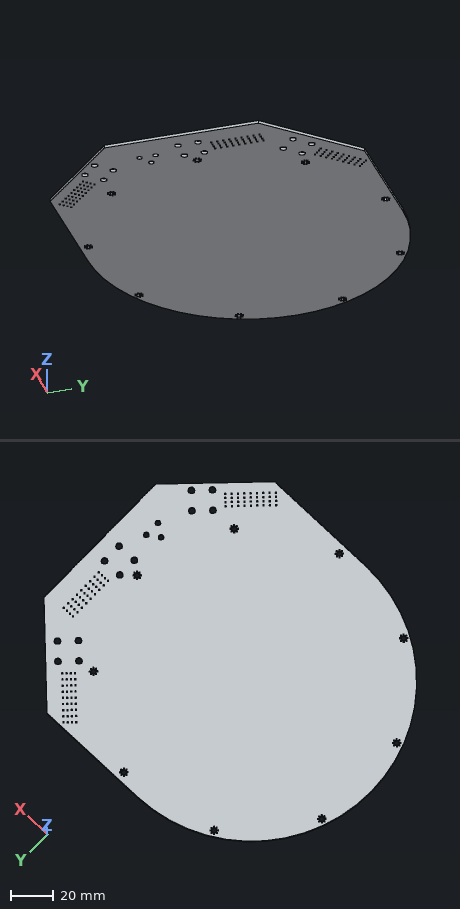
import cadquery as cq
import math

length = 178.5
width = 157.0
thickness = 1.6
corner_cut_x = 40.3
corner_cut_y = 40.2

right_edge = length / 2
half_width = width / 2
arc_center_x = -right_edge + half_width

mount_ring_radius = 75.3
mount_count = 9
mount_diameter = 2.5
via_count = 8
via_diameter = 0.5
via_ring_radius = 1.8

square_hole_diameter = 3.0
square_side = 10.0
square_groups = [
    (62.7, 49.5, 45),
    (75.7, 0.5, 0),
    (67.7, -48.0, 45),
]

triangle_hole_diameter = 2.5
triangle_base_x = 75.1
triangle_base_length = 8.0
triangle_height = 5.9
triangle_center_y = -21.5

pin_diameter = 0.6
pin_columns = 4
pin_rows = 9
pin_field_width = 6.0
pin_field_length = 24.1
pin_fields = [
    (46.4, 65.7, 45),
    (75.7, 23.5, 0),
    (51.2, -64.3, -45),
]


def make_plate():
    cut_start_x = right_edge - corner_cut_x
    cut_end_y = half_width - corner_cut_y
    return (
        cq.Workplane("XY", origin=(0, 0, -thickness / 2))
        .moveTo(arc_center_x, half_width)
        .lineTo(cut_start_x, half_width)
        .lineTo(right_edge, cut_end_y)
        .lineTo(right_edge, -cut_end_y)
        .lineTo(cut_start_x, -half_width)
        .lineTo(arc_center_x, -half_width)
        .threePointArc((-right_edge, 0), (arc_center_x, half_width))
        .close()
        .extrude(thickness)
    )


def ring_points(center, radius, count):
    """Points evenly spaced on a circle, the first one on the +X side."""
    angles = [2 * math.pi * i / count for i in range(count)]
    return [(center[0] + radius * math.cos(a), center[1] + radius * math.sin(a)) for a in angles]


def grid_points(center_x, center_y, rotation, size, counts):
    """Points of a centred rectangular grid of the given overall size, turned about its centre."""
    turn = math.radians(rotation)
    points = []
    for i in range(counts[0]):
        for j in range(counts[1]):
            u = size[0] * (i / (counts[0] - 1) - 0.5)
            v = size[1] * (j / (counts[1] - 1) - 0.5)
            x = center_x + u * math.cos(turn) - v * math.sin(turn)
            y = center_y + u * math.sin(turn) + v * math.cos(turn)
            points.append((x, y))
    return points


def hole_cutters(points, diameter):
    """Cylinders spanning the plate thickness, used to cut through holes."""
    return (
        cq.Workplane("XY", origin=(0, 0, -thickness / 2))
        .pushPoints(points)
        .circle(diameter / 2)
        .extrude(thickness)
    )


mount_points = ring_points((arc_center_x, 0), mount_ring_radius, mount_count)

via_points = []
for mount_point in mount_points:
    via_points += ring_points(mount_point, via_ring_radius, via_count)

square_points = []
for x, y, rotation in square_groups:
    square_points += grid_points(x, y, rotation, (square_side, square_side), (2, 2))

triangle_points = [
    (triangle_base_x, triangle_center_y + triangle_base_length / 2),
    (triangle_base_x, triangle_center_y - triangle_base_length / 2),
    (triangle_base_x - triangle_height, triangle_center_y),
]

pin_points = []
for x, y, rotation in pin_fields:
    pin_points += grid_points(
        x, y, rotation, (pin_field_width, pin_field_length), (pin_columns, pin_rows)
    )

result = (
    make_plate()
    .cut(hole_cutters(mount_points, mount_diameter))
    .cut(hole_cutters(via_points, via_diameter))
    .cut(hole_cutters(square_points, square_hole_diameter))
    .cut(hole_cutters(triangle_points, triangle_hole_diameter))
    .cut(hole_cutters(pin_points, pin_diameter))
)